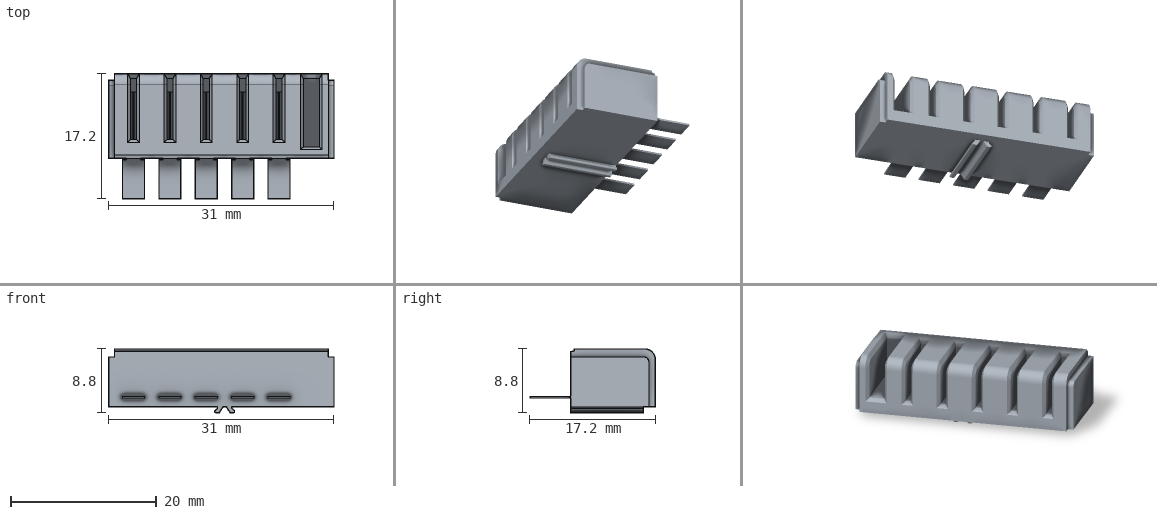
import cadquery as cq
import math

total_length = 31.0
ear_length = 0.8
core_length = total_length - 2 * ear_length
core_depth = 11.65
core_height = 8.0
core_radius = 1.5
bend_y = core_depth - core_radius
bend_z = core_height - core_radius
ear_depth = 10.75
ear_height = 6.9
ear_radius = 0.75

rebate_width = 0.47
rebate_depth = 0.4
rebate_floor_angle = 15.0

contact_count = 5
contact_pitch = 5.0
first_contact_x = -12.07
contact_centers = [first_contact_x + i * contact_pitch for i in range(contact_count)]

slot_width = 0.86
slot_front_y = 2.58
key_width = 2.22
key_front_y = 1.59
key_center_x = 12.37
slot_floor_z = 2.0
flare_depth = 0.65
flare_width = flare_depth * math.tan(math.radians(30))

throat_back_y = 9.14
throat_gap = 0.12
throat_lip_width = (slot_width - throat_gap) / 2
throat_top_slope = math.radians(50)
throat_bottom_slope = math.radians(85)
throat_lip_radius = throat_lip_width / (math.sin(throat_bottom_slope) - math.sin(throat_top_slope))
throat_depth = throat_lip_radius * (math.cos(throat_top_slope) - math.cos(throat_bottom_slope))

tail_reach = 5.56
tail_width = 3.05
tail_neck_width = 2.0
tail_neck_length = 0.18
tail_thickness = 0.25
tail_bottom_z = 1.22
tail_root_length = 1.0

clip_center_x = 0.46
clip_depth = 10.0
clip_height = 0.8
clip_neck_half = 1.0
clip_neck_height = 0.2
clip_tip_half = 1.38
clip_tip_top = 0.53
clip_tip_radius = 0.2
clip_foot_inner_half = 0.74
clip_root_inner_half = 0.22


def rounded_block(length, depth, height, radius):
    """Block along X whose back top edge is rounded."""
    block = cq.Workplane("XY").box(length, depth, height, centered=(True, False, False))
    return block.edges(">Y and >Z").fillet(radius)


def front_rebate():
    """Wedge-floored strip removed along the front top edge."""
    step_drop = rebate_depth - rebate_width * math.tan(math.radians(rebate_floor_angle))
    outline = [
        (0, core_height),
        (rebate_width, core_height),
        (rebate_width, core_height - step_drop),
        (0, core_height - rebate_depth),
    ]
    return cq.Workplane("YZ").polyline(outline).close().extrude(core_length / 2, both=True)


def flare_band(width):
    """Tapered band that follows the top, the rounded edge and the back of the housing."""
    mid = math.sqrt(0.5) * core_radius
    path = (
        cq.Workplane("YZ")
        .moveTo(0, core_height)
        .lineTo(bend_y, core_height)
        .threePointArc((bend_y + mid, bend_z + mid), (core_depth, bend_z))
        .lineTo(core_depth, 0)
    )
    inner_half = width / 2
    outer_half = inner_half + flare_width
    section = [
        (-outer_half, core_height),
        (outer_half, core_height),
        (inner_half, core_height - flare_depth),
        (-inner_half, core_height - flare_depth),
    ]
    return cq.Workplane("XZ").polyline(section).close().sweep(path)


def flare_side_limit(width, front_y):
    """Solid that bounds the flare in side profile, with slanted front and lower ends."""
    inner_radius = core_radius - flare_depth
    outer_mid = math.sqrt(0.5) * core_radius
    inner_mid = math.sqrt(0.5) * inner_radius
    return (
        cq.Workplane("YZ")
        .moveTo(front_y - flare_width, core_height)
        .lineTo(bend_y, core_height)
        .threePointArc((bend_y + outer_mid, bend_z + outer_mid), (core_depth, bend_z))
        .lineTo(core_depth, slot_floor_z - flare_width)
        .lineTo(core_depth - flare_depth, slot_floor_z)
        .lineTo(core_depth - flare_depth, bend_z)
        .threePointArc((bend_y + inner_mid, bend_z + inner_mid), (bend_y, core_height - flare_depth))
        .lineTo(front_y, core_height - flare_depth)
        .close()
        .extrude(width / 2 + flare_width, both=True)
    )


def flared_slot(center_x, width, front_y):
    """Straight channel whose mouth widens along the top and the back."""
    channel = (
        cq.Workplane("XY")
        .box(width, core_depth - front_y, core_height - slot_floor_z, centered=(True, False, False))
        .translate((0, front_y, slot_floor_z))
    )
    flare = flare_band(width).intersect(flare_side_limit(width, front_y))
    return channel.union(flare).translate((center_x, 0, 0))


def contact_throat(center_x):
    """Groove in the slot floor with two convex lips and a narrow flat bottom."""
    gap_half = throat_gap / 2
    top_half = slot_width / 2
    bottom_z = slot_floor_z - throat_depth
    return (
        cq.Workplane("XZ", origin=(center_x, throat_back_y, 0))
        .moveTo(-top_half, slot_floor_z)
        .radiusArc((-gap_half, bottom_z), throat_lip_radius)
        .lineTo(gap_half, bottom_z)
        .radiusArc((top_half, slot_floor_z), throat_lip_radius)
        .close()
        .extrude(throat_back_y - slot_front_y)
    )


def solder_tail(center_x):
    """Flat blade on a narrower neck that is rooted in the housing."""
    blade_length = tail_reach - tail_neck_length
    neck_length = tail_neck_length + tail_root_length
    blade = (
        cq.Workplane("XY")
        .box(tail_width, blade_length, tail_thickness, centered=(True, False, False))
        .translate((0, -tail_reach, 0))
    )
    neck = (
        cq.Workplane("XY")
        .box(tail_neck_width, neck_length, tail_thickness, centered=(True, False, False))
        .translate((0, -tail_neck_length, 0))
    )
    return blade.union(neck).translate((center_x, 0, tail_bottom_z))


def snap_clip():
    """Two splayed arms with rounded outer toes, mirrored about the clip centre."""
    arm = (
        cq.Workplane("XZ")
        .moveTo(clip_root_inner_half, 0)
        .lineTo(clip_neck_half, 0)
        .lineTo(clip_neck_half, -clip_neck_height)
        .lineTo(clip_tip_half, -clip_tip_top)
        .lineTo(clip_tip_half, -clip_height + clip_tip_radius)
        .radiusArc((clip_tip_half - clip_tip_radius, -clip_height), clip_tip_radius)
        .lineTo(clip_foot_inner_half, -clip_height)
        .close()
        .extrude(-clip_depth)
    )
    return arm.union(arm.mirror("YZ")).translate((clip_center_x, 0, 0))


result = rounded_block(core_length, core_depth, core_height, core_radius)
result = result.union(rounded_block(total_length, ear_depth, ear_height, ear_radius))
result = result.cut(front_rebate())
result = result.cut(flared_slot(key_center_x, key_width, key_front_y))

for contact_x in contact_centers:
    result = result.cut(flared_slot(contact_x, slot_width, slot_front_y))
    result = result.cut(contact_throat(contact_x))
    result = result.union(solder_tail(contact_x))

result = result.union(snap_clip())